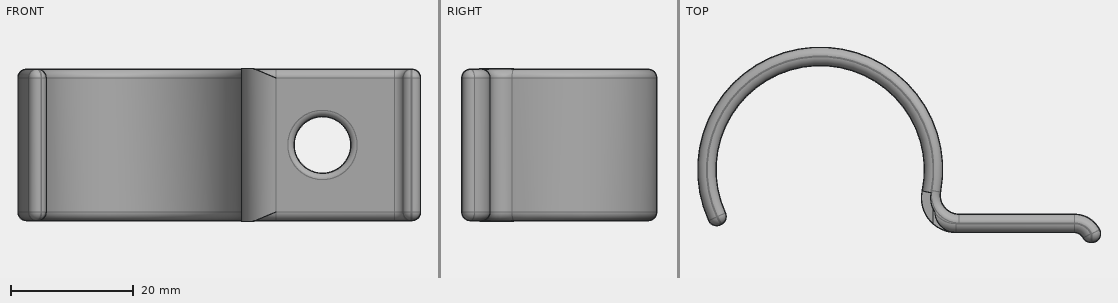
import cadquery as cq
import math

thickness = 3.0
strip_height = 24.7
ring_outer_radius = 20.0
ring_inner_radius = ring_outer_radius - thickness
mouth_angle = 180 + 29

flange_back_y = -7.2
flange_front_y = flange_back_y - thickness
bend_back_radius = 3.0
bend_front_radius = 5.65
lip_start_x = 41.4
lip_inner_radius = 1.65
lip_outer_radius = lip_inner_radius + thickness
lip_end_angle = 0.5

bend_height = 25.0
crest_top_end_x = 18.4

edge_radius = 1.45
hole_x = 29.7
hole_diameter = 9.2
hole_edge_radius = 1.05

match_tolerance = 0.005

lip_center = (lip_start_x, flange_front_y - lip_inner_radius)


def bend_circle(ring_radius, flange_y, radius):
    """Center of a bend arc touching a ring circle and a flange face, and the angle of its ring joint."""
    center_y = flange_y + radius
    center_x = math.sqrt((ring_radius + radius) ** 2 - center_y**2)
    return (center_x, center_y), math.degrees(math.atan2(center_y, center_x))


back_center, back_joint = bend_circle(ring_outer_radius, flange_back_y, bend_back_radius)
front_center, front_joint = bend_circle(ring_inner_radius, flange_front_y, bend_front_radius)


def polar(radius, angle, center=(0, 0)):
    """Point on a circle at an angle in degrees."""
    turn = math.radians(angle)
    return (center[0] + radius * math.cos(turn), center[1] + radius * math.sin(turn))


def arc(sketch, radius, start, end, center=(0, 0)):
    """Continue an outline along a circle between two angles."""
    return sketch.threePointArc(polar(radius, (start + end) / 2, center), polar(radius, end, center))


def make_strip():
    outline = cq.Workplane("XY").moveTo(*polar(ring_outer_radius, mouth_angle))
    outline = arc(outline, ring_outer_radius, mouth_angle, back_joint)
    outline = arc(outline, bend_back_radius, 180 + back_joint, 270, back_center)
    outline = outline.lineTo(lip_start_x, flange_back_y)
    outline = arc(outline, lip_outer_radius, 90, lip_end_angle, lip_center)
    outline = outline.lineTo(*polar(lip_inner_radius, lip_end_angle, lip_center))
    outline = arc(outline, lip_inner_radius, lip_end_angle, 90, lip_center)
    outline = outline.lineTo(front_center[0], flange_front_y)
    outline = arc(outline, bend_front_radius, 270, 180 + front_joint, front_center)
    outline = arc(outline, ring_inner_radius, front_joint, mouth_angle)
    strip = outline.close().extrude(strip_height / 2, both=True)
    return round_edges(strip)


def round_edges(strip):
    """Round both long edges of the strip, then its two tips with their corners."""
    tip_edges = strip.edges("|Z").filter(is_tip_edge)
    return strip.faces("|Z").edges().add(tip_edges).fillet(edge_radius)


def is_tip_edge(edge):
    """True for the upright edges at the ring mouth and at the lip's end."""
    corners = [
        polar(ring_outer_radius, mouth_angle),
        polar(ring_inner_radius, mouth_angle),
        polar(lip_outer_radius, lip_end_angle, lip_center),
        polar(lip_inner_radius, lip_end_angle, lip_center),
    ]
    place = edge.Center()
    return any(math.dist((place.x, place.y), corner) < match_tolerance for corner in corners)


def make_bend_crest():
    """Front half of the bend's thickness, full height and with sharp, tapering edges."""
    joint = 180 + front_joint
    middle_radius = bend_front_radius - thickness / 2
    crest = cq.Workplane("XY").moveTo(*polar(bend_front_radius, joint, front_center))
    crest = arc(crest, bend_front_radius, joint, 270, front_center)
    crest = crest.lineTo(*polar(middle_radius, 270, front_center))
    crest = arc(crest, middle_radius, 270, joint, front_center)
    crest = crest.close().extrude(bend_height / 2, both=True)

    crest_right_x = front_center[0]
    crest_left_x = crest_right_x - bend_front_radius
    top_z = bend_height / 2
    flange_face_z = strip_height / 2 - edge_radius
    silhouette = (
        cq.Workplane("XZ")
        .moveTo(crest_left_x, top_z)
        .lineTo(crest_top_end_x, top_z)
        .lineTo(crest_right_x, flange_face_z)
        .lineTo(crest_right_x, -flange_face_z)
        .lineTo(crest_top_end_x, -top_z)
        .lineTo(crest_left_x, -top_z)
        .close()
        .extrude(ring_outer_radius)
    )
    return crest.intersect(silhouette)


def make_hole_cutter():
    """Through hole flared by a rounded edge on both faces of the flange."""
    radius = hole_diameter / 2
    flare_radius = radius + hole_edge_radius
    half_throat = thickness / 2 - hole_edge_radius
    rounding = hole_edge_radius * (1 - math.sqrt(0.5))
    profile = (
        cq.Workplane("XY")
        .lineTo(0, thickness / 2)
        .lineTo(flare_radius, thickness / 2)
        .threePointArc((radius + rounding, thickness / 2 - rounding), (radius, half_throat))
        .lineTo(radius, -half_throat)
        .threePointArc((radius + rounding, rounding - thickness / 2), (flare_radius, -thickness / 2))
        .lineTo(0, -thickness / 2)
        .close()
    )
    cutter = profile.revolve(360, (0, 0, 0), (0, 1, 0))
    return cutter.translate((hole_x, (flange_back_y + flange_front_y) / 2, 0))


result = make_strip().union(make_bend_crest()).cut(make_hole_cutter())